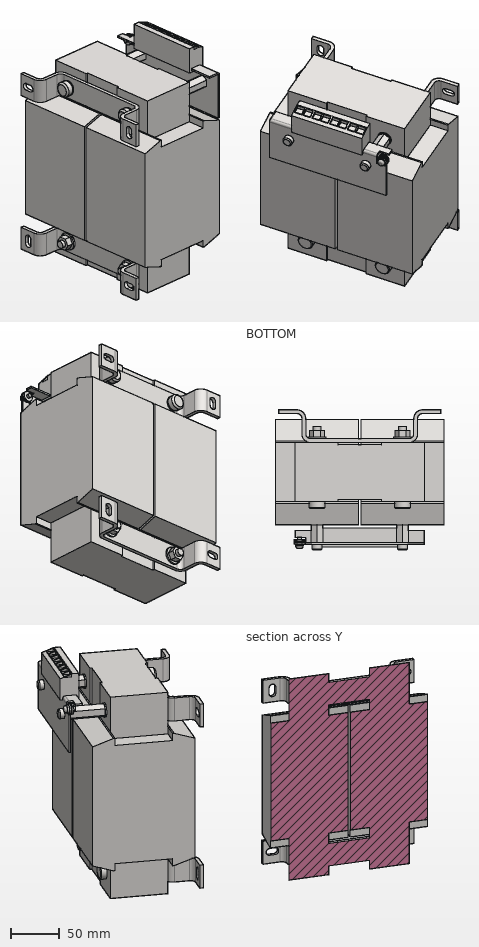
import cadquery as cq
import math

OVERALL_HEIGHT = 239.5

CORE_WIDTH = 132.7
CORE_HEIGHT = 220.3
YOKE_HEIGHT = 44.5
CORE_HALF_DEPTH = 28.3
PAD_THICKNESS = 2.2
PAD_FACE = CORE_HALF_DEPTH + PAD_THICKNESS
LEG_INNER_X = 22.3
LEG_WIDTH = CORE_WIDTH / 2 - LEG_INNER_X
MID_HEIGHT = CORE_HEIGHT / 2

COILS_WIDTH = 173.0
COIL_GAP = 2.5
COIL_WIDTH = (COILS_WIDTH - COIL_GAP) / 2
COIL_HALF_DEPTH = 54.0
COIL_SIDE_HALF_HEIGHT = 65.1
COIL_FLANGE_HALF_HEIGHT = 72.3
COIL_FLANGE_INNER_Y = PAD_FACE
COIL_FLANGE_LAND = 1.7
YOKE_CLEARANCE = 1.0

BRACKET_HEIGHT = 25.1
BRACKET_THICKNESS = 4.0
BEND_RADIUS = 5.0
BRACKET_HALF_SPAN = 83.0
BRACKET_LEG_INNER_X = 55.3
BRACKET_WEB_FACE = 34.2
BRACKET_FOOT_FACE = 64.0
BRACKET_Z_OFFSET = 88.1
SLOT_LENGTH = 13.6
SLOT_WIDTH = 7.5
SLOT_X = 72.8

BOLT_X = 43.8
HEAD_DIAMETER = 16.3
HEAD_HEIGHT = 8.1
HEAD_CHAMFER = 2.0
WASHER_DIAMETER = 14.8
WASHER_THICKNESS = 1.5
REAR_HEAD_HEIGHT = 6.7
REAR_HEAD_CHAMFER = 1.0
NUT_FLANGE_DIAMETER = 18.5
NUT_FLANGE_THICKNESS = 2.0
NUT_FLATS = 13.0
NUT_HEIGHT = 6.7
STUD_DIAMETER = 8.0
STUD_LENGTH = 12.5

PLATE_THICKNESS = 2.0
PLATE_BEND_OUTER_RADIUS = 2.6
PLATE_BACK = 74.2
PLATE_BOTTOM = 163.8
PLATE_TOP = 216.0
PLATE_FLANGE_END = 59.9
STANDOFF_CORNERS = 14.1
PLATE_SCREW_DIAMETER = 10.3
PLATE_SCREW_HEIGHT = 5.7
PLATE_SCREW_CHAMFER = 1.2

BLOCK_COUNT = 4
BLOCKS_WIDTH = 80.0
BLOCK_BACK = 76.9
BLOCK_FRONT = 57.2
BLOCK_BOTTOM = 211.7
BLOCK_SLOPE_START = 64.0
BLOCK_BACK_TOP = 235.0
POCKET_WIDTH = 8.1
POCKET_LENGTH = 7.2
POCKET_Y = 68.5
POCKET_FLOOR = 235.6
POCKET_PAIR_SPACING = 9.5

EARTH_X = -61.8
EARTH_Z = 209.5
EARTH_NOTCH_X = -55.5
EARTH_NOTCH_BOTTOM = 204.5
EARTH_NOTCH_FRONT = 67.3
EARTH_WASHER_DIAMETER = 11.3
EARTH_WASHER_THICKNESS = 1.7
EARTH_FRONT_WASHER_BACK = 70.9
EARTH_REAR_WASHER_BACK = 73.5
EARTH_COLLAR_DIAMETER = 8.6
EARTH_COLLAR_THICKNESS = 2.0
EARTH_DOME_DIAMETER = 7.7
EARTH_DOME_HEIGHT = 3.0
EARTH_DOME_ROUNDING = 2.5
EARTH_SHANK_DIAMETER = 4.3
EARTH_SHANK_END = 66.5


def box(x0, x1, y0, y1, z0, z1):
    """Box between two opposite corners."""
    return cq.Workplane("XY").box(x1 - x0, y1 - y0, z1 - z0, centered=False).translate((x0, y0, z0))


def section_at(y, x, z):
    """Sketch plane facing +Y, with its origin at the given point."""
    return cq.Workplane("XZ", origin=(x, y, z)).transformed(rotate=(0, 180, 0))


def disc(x, z, y, length, diameter):
    """Cylinder running from y toward +Y, or toward -Y for a negative length."""
    return section_at(y, x, z).circle(diameter / 2).extrude(length)


def hex_bar(x, z, y, length, corners, turn=0):
    """Hexagonal bar along Y, with corners at +-X before it is turned about its axis."""
    bar = section_at(y, x, z).polygon(6, corners).extrude(length)
    return bar.rotate((x, 0, z), (x, 1, z), turn)


def make_core():
    core = box(-CORE_WIDTH / 2, CORE_WIDTH / 2, -CORE_HALF_DEPTH, CORE_HALF_DEPTH, 0, CORE_HEIGHT)
    window = box(
        -LEG_INNER_X, LEG_INNER_X, -PAD_FACE, PAD_FACE, YOKE_HEIGHT, CORE_HEIGHT - YOKE_HEIGHT
    )
    core = core.cut(window)
    for x0 in (-CORE_WIDTH / 2, LEG_INNER_X):
        core = core.union(box(x0, x0 + LEG_WIDTH, -PAD_FACE, PAD_FACE, 0, CORE_HEIGHT))
    return core


def make_coil(side):
    """Coil body with sloped flanges front and back and a notch for each yoke."""
    notch_half_height = MID_HEIGHT - YOKE_HEIGHT - YOKE_CLEARANCE
    quarter = [
        (COIL_HALF_DEPTH, COIL_SIDE_HALF_HEIGHT),
        (COIL_FLANGE_INNER_Y + COIL_FLANGE_LAND, COIL_FLANGE_HALF_HEIGHT),
        (COIL_FLANGE_INNER_Y, COIL_FLANGE_HALF_HEIGHT),
        (COIL_FLANGE_INNER_Y, notch_half_height),
    ]
    top = quarter + [(-y, z) for y, z in reversed(quarter)]
    outline = top + [(y, -z) for y, z in reversed(top)]
    start = COIL_GAP / 2 if side > 0 else -COIL_GAP / 2 - COIL_WIDTH
    return cq.Workplane("YZ", origin=(start, 0, MID_HEIGHT)).polyline(outline).close().extrude(COIL_WIDTH)


def make_bracket(z, level):
    """Hat-shaped strap; level is +1 for the upper one and -1 for the lower one."""
    outer_radius = BEND_RADIUS + BRACKET_THICKNESS
    web_back = -BRACKET_WEB_FACE + BRACKET_THICKNESS
    foot_back = -BRACKET_FOOT_FACE + BRACKET_THICKNESS
    leg_outer_x = BRACKET_LEG_INNER_X + BRACKET_THICKNESS
    web_bend = (BRACKET_LEG_INNER_X - BEND_RADIUS, -BRACKET_WEB_FACE - BEND_RADIUS)
    foot_bend = (leg_outer_x + BEND_RADIUS, foot_back + BEND_RADIUS)
    diagonal = math.sqrt(0.5)

    def on_bend(center, radius, sign):
        return (center[0] + sign * radius * diagonal, center[1] + sign * radius * diagonal)

    half = (
        cq.Workplane("XY")
        .moveTo(0, web_back)
        .lineTo(web_bend[0], web_back)
        .threePointArc(on_bend(web_bend, outer_radius, 1), (leg_outer_x, web_bend[1]))
        .lineTo(leg_outer_x, foot_bend[1])
        .threePointArc(on_bend(foot_bend, BEND_RADIUS, -1), (foot_bend[0], foot_back))
        .lineTo(BRACKET_HALF_SPAN, foot_back)
        .lineTo(BRACKET_HALF_SPAN, -BRACKET_FOOT_FACE)
        .lineTo(foot_bend[0], -BRACKET_FOOT_FACE)
        .threePointArc(on_bend(foot_bend, outer_radius, -1), (BRACKET_LEG_INNER_X, foot_bend[1]))
        .lineTo(BRACKET_LEG_INNER_X, web_bend[1])
        .threePointArc(on_bend(web_bend, BEND_RADIUS, 1), (web_bend[0], -BRACKET_WEB_FACE))
        .lineTo(0, -BRACKET_WEB_FACE)
        .close()
        .extrude(BRACKET_HEIGHT)
        .translate((0, 0, z - BRACKET_HEIGHT / 2))
    )
    bracket = half.union(half.mirror("YZ"))
    for side in (-1, 1):
        angle = 0 if side * level < 0 else 90
        slot = section_at(-BRACKET_FOOT_FACE, side * SLOT_X, z).slot2D(SLOT_LENGTH, SLOT_WIDTH, angle)
        bracket = bracket.cut(slot.extrude(BRACKET_THICKNESS))
    return bracket


def make_upper_fasteners(x, z):
    """Front bolt head, rear standoff and the screw that holds the terminal plate."""
    washer = disc(x, z, -BRACKET_WEB_FACE, -WASHER_THICKNESS, WASHER_DIAMETER)
    head = disc(x, z, -BRACKET_WEB_FACE - WASHER_THICKNESS, -HEAD_HEIGHT, HEAD_DIAMETER)
    head = head.faces("<Y").chamfer(HEAD_CHAMFER)
    rear_washer = disc(x, z, PAD_FACE, WASHER_THICKNESS, WASHER_DIAMETER)
    standoff_length = PLATE_BACK - PLATE_THICKNESS - CORE_HALF_DEPTH
    standoff = hex_bar(x, z, CORE_HALF_DEPTH, standoff_length, STANDOFF_CORNERS, 30)
    screw = disc(x, z, PLATE_BACK, PLATE_SCREW_HEIGHT, PLATE_SCREW_DIAMETER)
    screw = screw.faces(">Y").chamfer(PLATE_SCREW_CHAMFER)
    return washer.union(head).union(rear_washer).union(standoff).union(screw)


def make_lower_fasteners(x, z):
    """Front flange nut on its stud and the rear bolt head."""
    nut_corners = NUT_FLATS / math.cos(math.pi / 6)
    flange = disc(x, z, -BRACKET_WEB_FACE, -NUT_FLANGE_THICKNESS, NUT_FLANGE_DIAMETER)
    nut = hex_bar(x, z, -BRACKET_WEB_FACE, -NUT_FLANGE_THICKNESS - NUT_HEIGHT, nut_corners)
    stud = disc(x, z, -BRACKET_WEB_FACE, -STUD_LENGTH, STUD_DIAMETER)
    head = disc(x, z, PAD_FACE, REAR_HEAD_HEIGHT, HEAD_DIAMETER)
    head = head.faces(">Y").chamfer(REAR_HEAD_CHAMFER)
    return flange.union(nut).union(stud).union(head)


def make_terminal_plate():
    """Angle plate with a forward flange on top and a notched corner for the earth screw."""
    half_width = CORE_WIDTH / 2
    wall = box(-half_width, half_width, PLATE_BACK - PLATE_THICKNESS, PLATE_BACK, PLATE_BOTTOM, PLATE_TOP)
    flange = box(
        -half_width, half_width, PLATE_FLANGE_END, PLATE_BACK, PLATE_TOP - PLATE_THICKNESS, PLATE_TOP
    )
    notch = box(-half_width, EARTH_NOTCH_X, EARTH_NOTCH_FRONT, PLATE_BACK, EARTH_NOTCH_BOTTOM, PLATE_TOP)
    angle = wall.union(flange).edges(">Y and >Z").fillet(PLATE_BEND_OUTER_RADIUS)
    return angle.cut(notch)


def make_terminal_blocks():
    """Row of blocks with a sloped rear top and two wire pockets each."""
    blocks = (
        cq.Workplane("YZ", origin=(-BLOCKS_WIDTH / 2, 0, 0))
        .moveTo(BLOCK_FRONT, BLOCK_BOTTOM)
        .lineTo(BLOCK_BACK, BLOCK_BOTTOM)
        .lineTo(BLOCK_BACK, BLOCK_BACK_TOP)
        .lineTo(BLOCK_SLOPE_START, OVERALL_HEIGHT)
        .lineTo(BLOCK_FRONT, OVERALL_HEIGHT)
        .close()
        .extrude(BLOCKS_WIDTH)
    )
    for side in (-1, 1):
        pockets = (
            cq.Workplane("XY", origin=(side * POCKET_PAIR_SPACING / 2, POCKET_Y, POCKET_FLOOR))
            .rarray(BLOCKS_WIDTH / BLOCK_COUNT, 2.5, BLOCK_COUNT, 1)
            .rect(POCKET_WIDTH, POCKET_LENGTH)
            .extrude(OVERALL_HEIGHT - POCKET_FLOOR)
        )
        blocks = blocks.cut(pockets)
    return blocks


def make_earth_screw():
    """Domed screw with a collar and two spaced washers."""
    shank_length = EARTH_REAR_WASHER_BACK - EARTH_SHANK_END
    screw = disc(EARTH_X, EARTH_Z, EARTH_SHANK_END, shank_length, EARTH_SHANK_DIAMETER)
    for back in (EARTH_FRONT_WASHER_BACK, EARTH_REAR_WASHER_BACK):
        screw = screw.union(disc(EARTH_X, EARTH_Z, back, -EARTH_WASHER_THICKNESS, EARTH_WASHER_DIAMETER))
    collar = disc(EARTH_X, EARTH_Z, EARTH_REAR_WASHER_BACK, EARTH_COLLAR_THICKNESS, EARTH_COLLAR_DIAMETER)
    dome_base = EARTH_REAR_WASHER_BACK + EARTH_COLLAR_THICKNESS
    dome = disc(EARTH_X, EARTH_Z, dome_base, EARTH_DOME_HEIGHT, EARTH_DOME_DIAMETER)
    dome = dome.faces(">Y").edges().fillet(EARTH_DOME_ROUNDING)
    return screw.union(collar).union(dome)


upper_z = MID_HEIGHT + BRACKET_Z_OFFSET
lower_z = MID_HEIGHT - BRACKET_Z_OFFSET

result = make_core()
for side in (-1, 1):
    result = result.union(make_coil(side))
result = result.union(make_bracket(upper_z, 1)).union(make_bracket(lower_z, -1))
result = result.union(make_terminal_plate()).union(make_terminal_blocks()).union(make_earth_screw())
for side in (-1, 1):
    result = result.union(make_upper_fasteners(side * BOLT_X, upper_z))
    result = result.union(make_lower_fasteners(side * BOLT_X, lower_z))